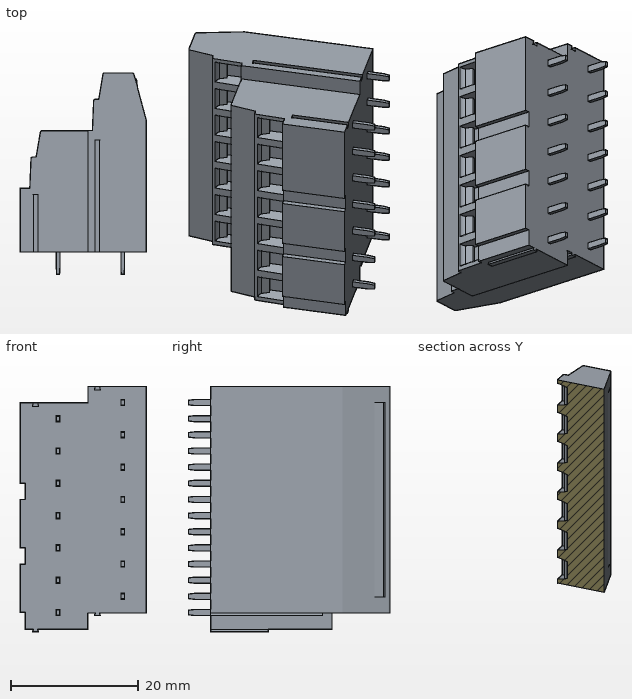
import cadquery as cq

PITCH = 5.08
POLES = 7
END_WALL = 0.1
ROW_HEIGHT = POLES * PITCH + END_WALL
STAGGER = PITCH / 2

TIER_SPACING = 9.85
UPPER_RISE = 9.1
KEY_DEPTH = 0.8
TOTAL_WIDTH = 19.85
SPLIT_X = TIER_SPACING + KEY_DEPTH

LEDGE_Y = 10.05
SHOULDER_Y = 14.97
CREST_Y = 19.1
LEDGE_X = 1.5
SHOULDER_X = 1.7
SLOPE_FOOT_X = 2.5
SLOPE_TOP_X = 3.2
CORNER_ROUND = 0.3

BACK_CREST_X = 17.85
BACK_SLOPE_Y = 20.75

RIDGE_TOP_Y = 27.4
RIDGE_BOTTOM_Y = 25.8
RIDGE_RISE = 0.25
RIDGE_INSET = PITCH / 2

POLE_GROUPS = (3, 2, 2)
NOTCH_HEIGHT = PITCH / 2

ENTRY_LENGTH = 4.4
ENTRY_HEIGHT = 3.8
ENTRY_FLOOR_HEIGHT = 2.9
ENTRY_DEPTH = 1.7
ENTRY_ROUND_LENGTH = 0.5
ENTRY_ROUND_DEPTH = 0.8
ENTRY_ROUND_RADIUS = 1.2
ENTRY_STEP_Y = 2.75
ENTRY_STEP_DEPTH = 1.2

PIN_LENGTH = 3.5
PIN_WIDTH = 0.6
PIN_HEIGHT = 1.0
PIN_TIP_LENGTH = 1.0
PIN_TIP_WIDTH = 0.5
PIN_TIP_HEIGHT = 0.75
PIN_LOWER_X = 5.97
PIN_SPACING = 10.16
PIN_EMBED = 1.0

RIB_DEPTH = 0.4
GROOVE_DEPTH = 0.6
RIB_ROOT_WIDTH = 0.7
RIB_TIP_WIDTH = 0.95
LOWER_RIB_X = 2.42
LOWER_RIB_LENGTH = 9.05
UPPER_RIB_X = 12.15
UPPER_RIB_LENGTH = 17.6

LOWER_BOTTOM = 0.0
UPPER_BOTTOM = LOWER_BOTTOM + STAGGER


def lower_tier():
    body = (
        cq.Workplane("XY")
        .polyline([
            (0, 0),
            (0, LEDGE_Y),
            (LEDGE_X, LEDGE_Y),
            (SHOULDER_X, SHOULDER_Y),
            (SLOPE_FOOT_X, SHOULDER_Y),
            (SLOPE_TOP_X, CREST_Y),
            (SPLIT_X, CREST_Y),
            (SPLIT_X, 0),
        ])
        .close()
        .extrude(ROW_HEIGHT)
        .translate((0, 0, LOWER_BOTTOM))
    )
    return round_corners(body, [(SHOULDER_X, SHOULDER_Y), (SLOPE_TOP_X, CREST_Y)])


def upper_tier():
    ledge_y = LEDGE_Y + UPPER_RISE
    shoulder_y = SHOULDER_Y + UPPER_RISE
    crest_y = CREST_Y + UPPER_RISE
    body = (
        cq.Workplane("XY")
        .polyline([
            (SPLIT_X, 0),
            (SPLIT_X, ledge_y),
            (TIER_SPACING + LEDGE_X, ledge_y),
            (TIER_SPACING + SHOULDER_X, shoulder_y),
            (TIER_SPACING + SLOPE_FOOT_X, shoulder_y),
            (TIER_SPACING + SLOPE_TOP_X, crest_y),
            (BACK_CREST_X, crest_y),
            (TOTAL_WIDTH, BACK_SLOPE_Y),
            (TOTAL_WIDTH, 0),
        ])
        .close()
        .extrude(ROW_HEIGHT)
        .translate((0, 0, UPPER_BOTTOM))
    )
    corners = [
        (TIER_SPACING + SHOULDER_X, shoulder_y),
        (TIER_SPACING + SLOPE_TOP_X, crest_y),
        (BACK_CREST_X, crest_y),
    ]
    return round_corners(body, corners)


def round_corners(body, corners):
    """Round the edges of a tier that run along Z through the given XY corners."""
    for x, y in corners:
        nearest = cq.selectors.NearestToPointSelector((x, y, ROW_HEIGHT / 2))
        body = body.edges("|Z").edges(nearest).fillet(CORNER_ROUND)
    return body


def back_ridge():
    """Blunt ridge on the sloping back, sunk a little into it."""
    def back_x(y):
        run = (TOTAL_WIDTH - BACK_CREST_X) / (CREST_Y + UPPER_RISE - BACK_SLOPE_Y)
        return TOTAL_WIDTH - run * (y - BACK_SLOPE_Y)

    return (
        cq.Workplane("XY", origin=(0, 0, UPPER_BOTTOM + RIDGE_INSET))
        .polyline([
            (back_x(RIDGE_TOP_Y) - RIDGE_RISE, RIDGE_TOP_Y),
            (back_x(RIDGE_TOP_Y), RIDGE_TOP_Y),
            (back_x(RIDGE_TOP_Y) + RIDGE_RISE, RIDGE_TOP_Y - RIDGE_RISE),
            (back_x(RIDGE_BOTTOM_Y), RIDGE_BOTTOM_Y),
            (back_x(RIDGE_BOTTOM_Y) - RIDGE_RISE, RIDGE_BOTTOM_Y),
        ])
        .close()
        .extrude(ROW_HEIGHT - 2 * RIDGE_INSET)
    )


def cut_notches(part):
    """Notch the lower tier at the foot of each pole group, and clear the end wall below the last."""
    foot = LOWER_BOTTOM + ROW_HEIGHT
    for poles in POLE_GROUPS:
        foot -= poles * PITCH
        part = part.cut(notch(foot, NOTCH_HEIGHT))
    return part.cut(notch(LOWER_BOTTOM, END_WALL))


def notch(bottom, height):
    return cq.Workplane("XY", origin=(0, 0, bottom)).box(KEY_DEPTH, LEDGE_Y, height, centered=False)


def wire_entry():
    """Pocket cutter with its mouth in the plane X = 0, its ledge at Y = 0 and centred on Z = 0."""
    clearance = SHOULDER_X - LEDGE_X
    side = (
        cq.Workplane("XY")
        .moveTo(-clearance, 0)
        .lineTo(ENTRY_DEPTH, 0)
        .lineTo(ENTRY_DEPTH, ENTRY_STEP_Y)
        .lineTo(ENTRY_STEP_DEPTH, ENTRY_STEP_Y)
        .lineTo(ENTRY_ROUND_DEPTH, ENTRY_LENGTH - ENTRY_ROUND_LENGTH)
        .radiusArc((0, ENTRY_LENGTH), -ENTRY_ROUND_RADIUS)
        .lineTo(-clearance, ENTRY_LENGTH)
        .close()
        .extrude(ENTRY_HEIGHT / 2, both=True)
    )
    funnel = (
        cq.Workplane("XZ")
        .polyline([
            (-clearance, -ENTRY_HEIGHT / 2),
            (0, -ENTRY_HEIGHT / 2),
            (ENTRY_DEPTH, -ENTRY_FLOOR_HEIGHT / 2),
            (ENTRY_DEPTH, ENTRY_FLOOR_HEIGHT / 2),
            (0, ENTRY_HEIGHT / 2),
            (-clearance, ENTRY_HEIGHT / 2),
        ])
        .close()
        .extrude(-ENTRY_LENGTH)
    )
    return side.intersect(funnel)


def pin():
    """Solder pin pointing to -Y with its flat tip tapered."""
    shank = cq.Workplane("XY").box(
        PIN_WIDTH, PIN_LENGTH - PIN_TIP_LENGTH + PIN_EMBED, PIN_HEIGHT, centered=(True, False, True)
    ).translate((0, PIN_TIP_LENGTH - PIN_LENGTH, 0))
    tip = (
        cq.Workplane("XZ", origin=(0, PIN_TIP_LENGTH - PIN_LENGTH, 0))
        .rect(PIN_WIDTH, PIN_HEIGHT)
        .workplane(offset=PIN_TIP_LENGTH)
        .rect(PIN_TIP_WIDTH, PIN_TIP_HEIGHT)
        .loft()
    )
    return shank.union(tip)


def dovetail(x, length, root_z, depth):
    """Dovetail bar running up from the base, widening downwards from root_z."""
    return (
        cq.Workplane("XZ")
        .polyline([
            (x - RIB_ROOT_WIDTH / 2, root_z),
            (x + RIB_ROOT_WIDTH / 2, root_z),
            (x + RIB_TIP_WIDTH / 2, root_z - depth),
            (x - RIB_TIP_WIDTH / 2, root_z - depth),
        ])
        .close()
        .extrude(-length)
    )


def add_row(part, bottom, shift, rise, pin_x):
    """Cut the wire entries of one tier and add its solder pins."""
    mouth_x = shift + (LEDGE_X + SHOULDER_X) / 2
    for pole in range(POLES):
        pole_z = bottom + END_WALL + (pole + 0.5) * PITCH
        part = part.cut(wire_entry().translate((mouth_x, LEDGE_Y + rise, pole_z)))
        part = part.union(pin().translate((pin_x, 0, pole_z)))
    return part


def add_dovetails(part, x, length, bottom):
    """Cut the groove in the top end of a tier and add the rib under its bottom end."""
    part = part.cut(dovetail(x, length, bottom + ROW_HEIGHT, GROOVE_DEPTH))
    return part.union(dovetail(x, length, bottom, RIB_DEPTH))


result = cut_notches(lower_tier().union(upper_tier()).union(back_ridge()))
result = add_row(result, LOWER_BOTTOM, 0, 0, PIN_LOWER_X)
result = add_row(result, UPPER_BOTTOM, TIER_SPACING, UPPER_RISE, PIN_LOWER_X + PIN_SPACING)
result = add_dovetails(result, LOWER_RIB_X, LOWER_RIB_LENGTH, LOWER_BOTTOM)
result = add_dovetails(result, UPPER_RIB_X, UPPER_RIB_LENGTH, UPPER_BOTTOM)